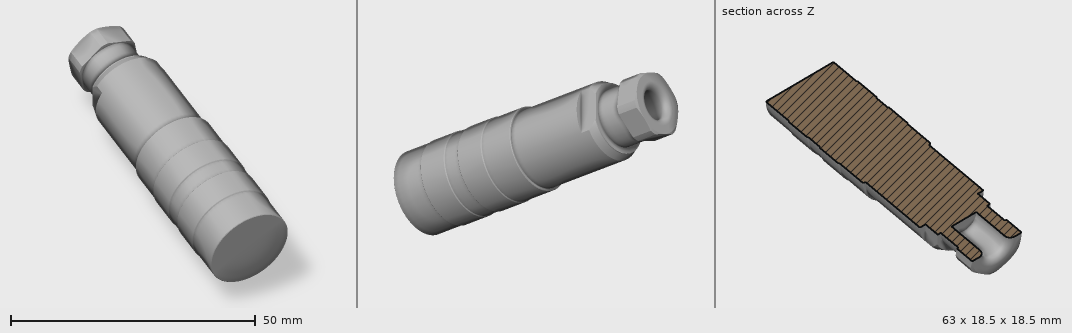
import cadquery as cq

LENGTH = 63.0

NUT_LENGTH = 5.0
NUT_ACROSS_FLATS = 13.1
NUT_CORNER_DIAMETER = 14.3
NUT_TILT = 8.4
NUT_FACE_DIAMETER = NUT_ACROSS_FLATS
NUT_CHAMFER_LENGTH = 0.25

BORE_DIAMETER = 6.5
BORE_MOUTH_DIAMETER = 9.45

NECK_DIAMETER = 12.5
BODY_START = 10.5
BODY_LIP_DIAMETER = 15.2
BODY_LIP_LENGTH = 0.2
BODY_TAPER_END = 12.35
BODY_DIAMETER = 17.0
BORE_DEPTH = BODY_START

FLATS_END = 14.4
FLATS_WIDTH = 14.05

SLEEVE_START = 31.8
SLEEVE_DIAMETER = 18.15
BAND_DIAMETER = 18.5
BAND_LENGTH = 6.5
BAND_STARTS = (39.3, 49.2)
BAND_CHAMFER = (BAND_DIAMETER - SLEEVE_DIAMETER) / 2
SLEEVE_CHAMFER = 0.1


def cylinder(diameter, start, end):
    """Solid cylinder about the X axis between two X positions."""
    return cq.Workplane("YZ", origin=(start, 0, 0)).circle(diameter / 2).extrude(end - start)


def revolve_about_x(profile):
    """Turn an outline of (X, radius) points about the X axis."""
    return profile.close().revolve(360, (0, 0, 0), (1, 0, 0))


def make_nut():
    face_radius = NUT_FACE_DIAMETER / 2
    corner_radius = NUT_CORNER_DIAMETER / 2
    blank = revolve_about_x(
        cq.Workplane("XY")
        .moveTo(0, 0)
        .lineTo(0, face_radius)
        .lineTo(NUT_CHAMFER_LENGTH, corner_radius)
        .lineTo(NUT_LENGTH, corner_radius)
        .lineTo(NUT_LENGTH, 0)
    )
    hexagon = (
        cq.Workplane("YZ")
        .transformed(rotate=(0, 0, NUT_TILT))
        .polygon(6, NUT_ACROSS_FLATS, circumscribed=True)
        .extrude(NUT_LENGTH)
    )
    return blank.intersect(hexagon)


def make_body():
    lip_radius = BODY_LIP_DIAMETER / 2
    body_radius = BODY_DIAMETER / 2
    body = revolve_about_x(
        cq.Workplane("XY")
        .moveTo(BODY_START, 0)
        .lineTo(BODY_START, lip_radius)
        .lineTo(BODY_START + BODY_LIP_LENGTH, lip_radius)
        .lineTo(BODY_TAPER_END, body_radius)
        .lineTo(SLEEVE_START, body_radius)
        .lineTo(SLEEVE_START, 0)
    )
    flats_length = FLATS_END - BODY_START
    flats_center = (BODY_START + FLATS_END) / 2
    flatted_end = cq.Workplane("XY").box(flats_length, FLATS_WIDTH, BODY_DIAMETER)
    flatted_end = flatted_end.translate((flats_center, 0, 0))
    full_end = cylinder(BODY_DIAMETER, FLATS_END, SLEEVE_START)
    return body.intersect(flatted_end.union(full_end))


def make_sleeve():
    sleeve = cylinder(SLEEVE_DIAMETER, SLEEVE_START, LENGTH).faces("<X or >X").chamfer(SLEEVE_CHAMFER)
    for start in BAND_STARTS:
        band = cylinder(BAND_DIAMETER, start, start + BAND_LENGTH)
        sleeve = sleeve.union(band.faces("<X or >X").chamfer(BAND_CHAMFER))
    return sleeve


def make_bore():
    """Cutter for the bore, flared at the mouth by a quarter round."""
    bore_radius = BORE_DIAMETER / 2
    mouth_radius = BORE_MOUTH_DIAMETER / 2
    rounding = mouth_radius - bore_radius
    return revolve_about_x(
        cq.Workplane("XY")
        .moveTo(0, 0)
        .lineTo(0, mouth_radius)
        .radiusArc((rounding, bore_radius), -rounding)
        .lineTo(BORE_DEPTH, bore_radius)
        .lineTo(BORE_DEPTH, 0)
    )


neck = cylinder(NECK_DIAMETER, NUT_LENGTH, BODY_START)
result = make_nut().union(neck).union(make_body()).union(make_sleeve()).cut(make_bore())